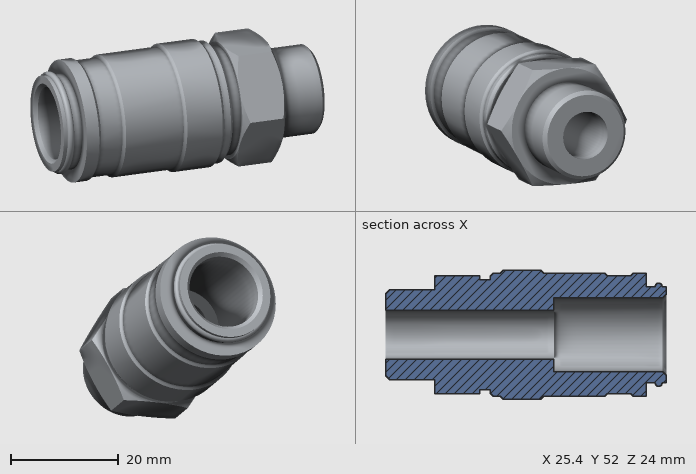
import cadquery as cq
import math

length = 52.0
edge_chamfer = 0.5

nose_radius = 9.0
ring_center = 1.4
ring_radius = 9.6
ring_section = 0.7

lip_start = 3.65
lip_end = 6.6
lip_radius = 11.5
groove_radius = lip_radius - edge_chamfer
grip_start = 10.85
band_start = 22.8
band_end = 30.8
band_radius = lip_radius + edge_chamfer
sleeve_end = 32.65
sleeve_end_chamfer = 0.55

neck_radius = 10.25
hex_start = 34.55
hex_end = 43.0
hex_flats = 22.0
hex_corners = hex_flats / math.cos(math.radians(30))
hex_chamfer_angle = 30
spigot_radius = 8.35
spigot_chamfer = 0.7

socket_bore_radius = 6.8
socket_bore_depth = 20.8
socket_chamfer = 0.7
through_radius = 4.5


def cylinder(radius, start, end):
    return cq.Workplane("XZ", origin=(0, start, 0)).circle(radius).extrude(start - end)


def revolve_profile(points):
    """Revolve a closed (radius, Y) outline about the Y axis."""
    return cq.Workplane("XY").polyline(points).close().revolve(360, (0, 0), (0, 1))


def make_sleeve():
    return revolve_profile([
        (0, lip_start),
        (lip_radius, lip_start),
        (lip_radius, lip_end - edge_chamfer),
        (groove_radius, lip_end),
        (groove_radius, grip_start),
        (lip_radius, grip_start + edge_chamfer),
        (lip_radius, band_start),
        (band_radius, band_start + edge_chamfer),
        (band_radius, band_end - edge_chamfer),
        (lip_radius, band_end),
        (lip_radius, sleeve_end - sleeve_end_chamfer),
        (lip_radius - sleeve_end_chamfer, sleeve_end),
        (0, sleeve_end),
    ])


def make_retaining_ring():
    section = cq.Workplane("XY").center(ring_radius - ring_section, ring_center).circle(ring_section)
    axis_offset = ring_section - ring_radius
    return section.revolve(360, (axis_offset, 0), (axis_offset, 1))


def make_hexagon():
    """Hexagon with corners on X, both ends turned to a shallow cone."""
    prism = (
        cq.Workplane("XZ", origin=(0, hex_start, 0))
        .polygon(6, hex_corners)
        .extrude(hex_start - hex_end)
    )
    flat_radius = hex_flats / 2
    corner_radius = hex_corners / 2
    corner_drop = (corner_radius - flat_radius) * math.tan(math.radians(hex_chamfer_angle))
    turned_envelope = revolve_profile([
        (0, hex_start),
        (flat_radius, hex_start),
        (corner_radius, hex_start + corner_drop),
        (corner_radius, hex_end - corner_drop),
        (flat_radius, hex_end),
        (0, hex_end),
    ])
    return prism.intersect(turned_envelope)


def make_bores():
    """Chamfered socket bore stepping down to the through hole."""
    return revolve_profile([
        (0, 0),
        (socket_bore_radius + socket_chamfer, 0),
        (socket_bore_radius, socket_chamfer),
        (socket_bore_radius, socket_bore_depth),
        (through_radius, socket_bore_depth),
        (through_radius, length),
        (0, length),
    ])


nose = cylinder(nose_radius, 0, lip_start)
neck = cylinder(neck_radius, sleeve_end, hex_start)
spigot = cylinder(spigot_radius, hex_end, length).faces(">Y").chamfer(spigot_chamfer)

body = make_sleeve()
for section in (nose, make_retaining_ring(), neck, make_hexagon(), spigot):
    body = body.union(section)

result = body.cut(make_bores())